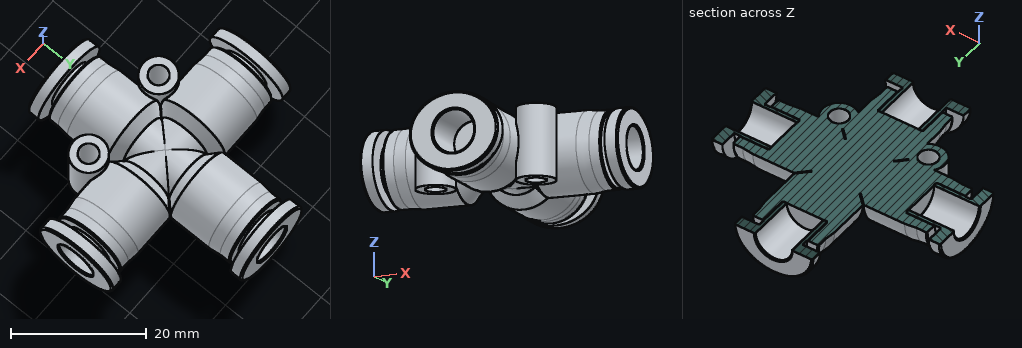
import cadquery as cq

arm_angles = (0, 90, 180, 270)
overall_length = 41.1
tip = overall_length / 2

arm_radius = 12.4 / 2
mouth_radius = 11.9 / 2
core_radius = 4.35
core_end = 4.45
shoulder_end = core_end + arm_radius - core_radius
taper_start = 13.6
taper_end = 15.58
mouth_end = 17.43
mouth_chamfer = 0.2

flange_width = 14.05
flange_height = 12.0
flange_thickness = 2.05
flange_chamfer = 0.25
sleeve_radius = 7.9 / 2
sleeve_end = 12.35
bore_radius = 6.55 / 2
bore_chamfer = 0.2

lug_radius = 6.0 / 2
lug_hole_radius = 3.2 / 2
lug_height = 11.0
lug_offset = 8.0


def turned_arm(angle):
    """One solid arm with its core, shoulder cone, barrel and tapered mouth."""
    profile = [
        (0, 0),
        (0, core_radius),
        (core_end, core_radius),
        (shoulder_end, arm_radius),
        (taper_start, arm_radius),
        (taper_end, mouth_radius),
        (mouth_end - mouth_chamfer, mouth_radius),
        (mouth_end, mouth_radius - mouth_chamfer),
        (mouth_end, 0),
    ]
    arm = cq.Workplane("XY").polyline(profile).close().revolve(360, (0, 0, 0), (1, 0, 0))
    mitre = (
        cq.Workplane("XY")
        .polyline([(0, 0), (tip, -tip), (tip, tip)])
        .close()
        .extrude(arm_radius * 2, both=True)
    )
    return arm.intersect(mitre).rotate((0, 0, 0), (0, 0, 1), angle)


def sleeve_socket(angle):
    """Blind round recess that the collar sleeve fills."""
    socket = cq.Workplane("YZ", origin=(sleeve_end, 0, 0)).circle(sleeve_radius).extrude(tip - sleeve_end)
    return socket.rotate((0, 0, 0), (0, 0, 1), angle)


def lug_cylinder(side, radius):
    """Vertical cylinder at one lug position."""
    return (
        cq.Workplane("XY", origin=(side * lug_offset, -lug_offset, -lug_height / 2))
        .circle(radius)
        .extrude(lug_height)
    )


def make_housing():
    housing = turned_arm(arm_angles[0])
    for angle in arm_angles[1:]:
        housing = housing.union(turned_arm(angle))
    for side in (-1, 1):
        housing = housing.union(lug_cylinder(side, lug_radius))
    for side in (-1, 1):
        housing = housing.cut(lug_cylinder(side, lug_hole_radius))
    for angle in arm_angles:
        housing = housing.cut(sleeve_socket(angle))
    return housing


def make_collar(angle):
    """Elliptical flange with a round sleeve and a through bore."""
    flange = (
        cq.Workplane("YZ", origin=(tip - flange_thickness, 0, 0))
        .ellipse(flange_width / 2, flange_height / 2)
        .extrude(flange_thickness)
        .faces(">X")
        .chamfer(flange_chamfer)
    )
    sleeve = (
        cq.Workplane("YZ", origin=(sleeve_end, 0, 0))
        .circle(sleeve_radius)
        .extrude(tip - flange_thickness - sleeve_end)
    )
    bore = cq.Workplane("YZ", origin=(sleeve_end, 0, 0)).circle(bore_radius).extrude(tip - sleeve_end)
    collar = flange.union(sleeve).cut(bore)
    rim = cq.selectors.RadiusNthSelector(0)
    collar = collar.faces(">X").edges(rim).chamfer(bore_chamfer)
    return collar.rotate((0, 0, 0), (0, 0, 1), angle)


housing = make_housing()
collars = [make_collar(angle) for angle in arm_angles]

result = cq.Compound.makeCompound([housing.val(), *[collar.val() for collar in collars]])